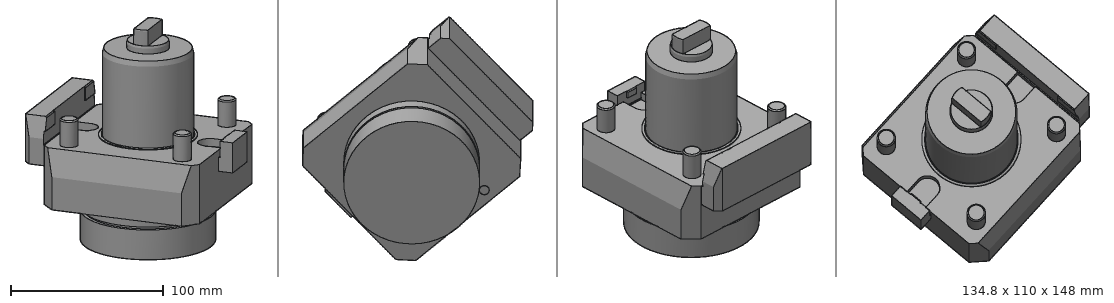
import cadquery as cq
import math

TAPER = math.tan(math.radians(15))

BASE_RADIUS = 89.0 / 2
GROOVE_RADIUS = 84.0 / 2
GROOVE_BOTTOM = 20.5
GROOVE_TOP = 22.6

BODY_X = 109.8
BODY_Y = 110.0
BODY_BOTTOM = 31.0
BODY_TOP = 71.8
BODY_TAPER_BOTTOM = 53.5
BODY_CORNER = 9.2

SLOT_FLOOR = 66.3
SLOT_INNER_X = 35.7
LEFT_SLOT_WIDTH = 15.2
RIGHT_SLOT_WIDTH = 16.3

BEAD_RADIUS = 65.0 / 2
BEAD_INNER_RADIUS = 61.3 / 2
BEAD_INNER_HEIGHT = 0.7
BEAD_CREST_HEIGHT = 0.9
BEAD_OUTER_HEIGHT = 0.5

CYLINDER_RADIUS = 60.0 / 2
CYLINDER_TOP = 131.9
CYLINDER_TAPER_HEIGHT = 3.7
SPIGOT_RADIUS = 28.0 / 2
SPIGOT_TOP = 137.2
SPIGOT_TAPER_HEIGHT = 1.8
TANG_RADIUS = 13.6
TANG_WIDTH = 10.2
TANG_TOP = 148
TANG_TAPER_HEIGHT = 0.9

PIN_RADIUS = 12.0 / 2
PIN_X = 40
PIN_Y = 39.0
PIN_TOP = 90.0
PIN_CHAMFER = 0.9

SIDE_BOTTOM = 57.1
PAD_CHAMFER = 0.7
PLATE_OUTER_X = -70.0
PLATE_LENGTH = 90.0
PLATE_TOP = PIN_TOP
PLATE_CORNER = 4.1
PLATE_TAPER_BOTTOM = 75.5
PLATE_RELIEF_DEPTH = 0.9
PLATE_RELIEF_BOTTOM = 71.5
PLATE_PAD_BOTTOM = 80.4
PLATE_PAD_GAP = 53.6
BLOCK_OUTER_X = 64.8
BLOCK_LENGTH = 25.5
BLOCK_TOP = 77.8
BLOCK_RELIEF_DEPTH = 1.0
BLOCK_RELIEF_BOTTOM = 66.7
BLOCK_PAD_BOTTOM = 72.8
BLOCK_PAD_WIDTH = 8.1

STUD_RADIUS = 3.3
STUD_X = -21.9
STUD_Y = -46.8
STUD_DROP = 0.5


def box(x0, x1, width_y, z0, z1):
    """Box between two X and two Z positions, centred on Y = 0."""
    block = cq.Workplane("XY").box(x1 - x0, width_y, z1 - z0, centered=(False, True, False))
    return block.translate((x0, 0, z0))


def cylinder(radius, z0, z1):
    return cq.Workplane("XY").workplane(offset=z0).circle(radius).extrude(z1 - z0)


def tapered_prism(x0, x1, length, z0, taper_start, z1):
    """Prism along X whose two Y sides lean inward above taper_start."""
    half = length / 2
    top_half = half - (z1 - taper_start) * TAPER
    outline = [
        (-half, z0), (half, z0), (half, taper_start),
        (top_half, z1), (-top_half, z1), (-half, taper_start),
    ]
    return cq.Workplane("YZ").workplane(offset=x0).polyline(outline).close().extrude(x1 - x0)


def tapered_cylinder(radius, z0, z1, taper_height):
    """Cylinder with a conical lead-in at its top."""
    top_radius = radius - taper_height * TAPER
    outline = [(0, z0), (radius, z0), (radius, z1 - taper_height), (top_radius, z1), (0, z1)]
    return cq.Workplane("XZ").polyline(outline).close().revolve(360, (0, 0), (0, 1))


def make_base():
    lower = cylinder(BASE_RADIUS, 0, GROOVE_BOTTOM)
    neck = cylinder(GROOVE_RADIUS, GROOVE_BOTTOM, GROOVE_TOP)
    upper = cylinder(BASE_RADIUS, GROOVE_TOP, BODY_BOTTOM)
    return lower.union(neck).union(upper)


def slot(direction, width):
    """Round-ended slot running out through the -X (-1) or +X (+1) side."""
    radius = width / 2
    center_x = direction * (SLOT_INNER_X + radius)
    edge_x = direction * BODY_X / 2
    straight = box(min(center_x, edge_x), max(center_x, edge_x), width, SLOT_FLOOR, BODY_TOP)
    return straight.union(cylinder(radius, SLOT_FLOOR, BODY_TOP).translate((center_x, 0, 0)))


def make_body():
    envelope = cq.Workplane("XY").rect(BODY_X, BODY_Y).extrude(BODY_TOP).edges("|Z").chamfer(BODY_CORNER)
    body = tapered_prism(-BODY_X / 2, BODY_X / 2, BODY_Y, BODY_BOTTOM, BODY_TAPER_BOTTOM, BODY_TOP)
    return body.intersect(envelope).cut(slot(-1, LEFT_SLOT_WIDTH)).cut(slot(1, RIGHT_SLOT_WIDTH))


def make_plate():
    inner_x = -BODY_X / 2
    plate = tapered_prism(PLATE_OUTER_X, inner_x, PLATE_LENGTH, SIDE_BOTTOM, PLATE_TAPER_BOTTOM, PLATE_TOP)
    envelope = box(PLATE_OUTER_X, inner_x, PLATE_LENGTH, SIDE_BOTTOM, PLATE_TOP)
    plate = plate.intersect(envelope.edges("|Z and <X").chamfer(PLATE_CORNER))
    relief_x = inner_x - PLATE_RELIEF_DEPTH
    relief = box(relief_x, inner_x, PLATE_LENGTH, PLATE_RELIEF_BOTTOM, PLATE_TOP)
    pads = box(relief_x, inner_x, PLATE_LENGTH, PLATE_PAD_BOTTOM, PLATE_TOP)
    pads = pads.edges(">X and >Z").chamfer(PAD_CHAMFER)
    pads = pads.cut(box(relief_x, inner_x, PLATE_PAD_GAP, PLATE_PAD_BOTTOM, PLATE_TOP))
    return plate.cut(relief.cut(pads))


def make_block():
    inner_x = BODY_X / 2
    relief_x = inner_x + BLOCK_RELIEF_DEPTH
    block = box(inner_x, BLOCK_OUTER_X, BLOCK_LENGTH, SIDE_BOTTOM, BLOCK_TOP)
    relief = box(inner_x, relief_x, BLOCK_LENGTH, BLOCK_RELIEF_BOTTOM, BLOCK_TOP)
    pad = box(inner_x, relief_x, BLOCK_PAD_WIDTH, BLOCK_PAD_BOTTOM, BLOCK_TOP)
    pad = pad.edges("<X and >Z").chamfer(PAD_CHAMFER)
    return block.cut(relief.cut(pad))


def make_bead():
    middle_radius = (BEAD_INNER_RADIUS + BEAD_RADIUS) / 2
    return (
        cq.Workplane("XZ")
        .moveTo(BEAD_INNER_RADIUS, BODY_TOP)
        .lineTo(BEAD_RADIUS, BODY_TOP)
        .lineTo(BEAD_RADIUS, BODY_TOP + BEAD_OUTER_HEIGHT)
        .threePointArc(
            (middle_radius, BODY_TOP + BEAD_CREST_HEIGHT),
            (BEAD_INNER_RADIUS, BODY_TOP + BEAD_INNER_HEIGHT),
        )
        .close()
        .revolve(360, (0, 0), (0, 1))
    )


def make_tang():
    round_blank = tapered_cylinder(TANG_RADIUS, SPIGOT_TOP, TANG_TOP, TANG_TAPER_HEIGHT)
    taper_inset = TANG_TAPER_HEIGHT * TAPER
    flats = box(-TANG_WIDTH / 2, TANG_WIDTH / 2, 2 * TANG_RADIUS, SPIGOT_TOP, TANG_TOP)
    flats = flats.faces(">Z").edges("|Y").chamfer(TANG_TAPER_HEIGHT, taper_inset)
    return round_blank.intersect(flats)


def make_pins():
    pin = cylinder(PIN_RADIUS, BODY_TOP, PIN_TOP).faces(">Z").chamfer(PIN_CHAMFER)
    pins = cq.Workplane("XY")
    for x in (-PIN_X, PIN_X):
        for y in (-PIN_Y, PIN_Y):
            pins = pins.add(pin.translate((x, y, 0)))
    return pins.combine()


def make_stud():
    return cylinder(STUD_RADIUS, BODY_BOTTOM - STUD_DROP, BODY_BOTTOM).translate((STUD_X, STUD_Y, 0))


result = (
    make_base()
    .union(make_body())
    .union(make_plate())
    .union(make_block())
    .union(make_bead())
    .union(tapered_cylinder(CYLINDER_RADIUS, BODY_TOP, CYLINDER_TOP, CYLINDER_TAPER_HEIGHT))
    .union(tapered_cylinder(SPIGOT_RADIUS, CYLINDER_TOP, SPIGOT_TOP, SPIGOT_TAPER_HEIGHT))
    .union(make_tang())
    .union(make_pins())
    .union(make_stud())
)